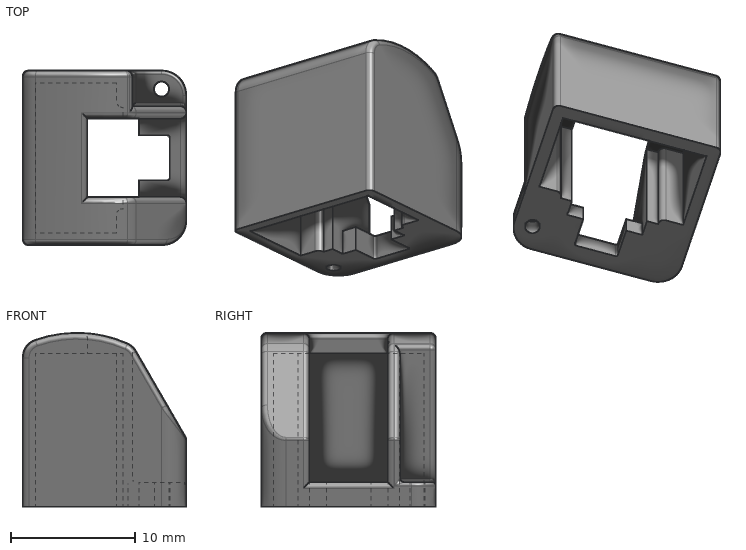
import cadquery as cq
import math

length = 13.15
width = 14.05
height = 14.0

crown_x = 4.35
crown_radius = 10.0
front_height = 5.5
slope_angle = 60.0
back_top_round = 1.5
crown_slope_round = 1.5

front_corner_round = 2.0
edge_round = 0.49

wall = 1.0
cavity_end_x = 7.52
cavity_height = 12.34
bay_end_x = 8.02
bay_width = 8.15
bay_round = 0.49

window_x = 5.2
window_width = 6.3
ledge_x = 9.33
ledge_height = 2.0
notch_end_x = 11.8
notch_width = 3.6
notch_round = 0.17

ridge = 1.01
pad_x = 8.8
pad_y = window_width / 2 + ridge
pad_height = 2.0
pad_inner_x = 8.43
pad_round = 0.3
hole_diameter = 1.2
hole_from_side = 1.5

TOLERANCE = 0.001


def box(x_range, y_range, z_range):
    """Axis-aligned box between pairs of limits."""
    (x0, x1), (y0, y1), (z0, z1) = x_range, y_range, z_range
    return cq.Workplane("XY").box(x1 - x0, y1 - y0, z1 - z0, centered=False).translate((x0, y0, z0))


def crown_z(x):
    """Height of the crown arc at x."""
    return height - crown_radius + math.sqrt(crown_radius**2 - (x - crown_x) ** 2)


def crown_slope_corner():
    """Sharp corner where the crown arc meets the front slope."""
    dx, dz = -math.cos(math.radians(slope_angle)), math.sin(math.radians(slope_angle))
    from_x = length - crown_x
    from_z = front_height - (height - crown_radius)
    half_b = from_x * dx + from_z * dz
    c = from_x**2 + from_z**2 - crown_radius**2
    distance = -half_b + math.sqrt(half_b**2 - c)
    return length + distance * dx, front_height + distance * dz


def nearest_edge(body, point):
    """The edge whose centre lies closest to a point."""
    return body.edges(cq.selectors.NearestToPointSelector(point))


def profile_prism(y_start, y_end):
    """The side outline drawn out along Y, with its two upper corners rounded."""
    corner_x, corner_z = crown_slope_corner()
    middle_y = (y_start + y_end) / 2
    prism = (
        cq.Workplane("XZ", origin=(0, y_end, 0))
        .lineTo(length, 0)
        .lineTo(length, front_height)
        .lineTo(corner_x, corner_z)
        .threePointArc((crown_x, height), (0, crown_z(0)))
        .close()
        .extrude(y_end - y_start)
    )
    prism = nearest_edge(prism, (0, middle_y, crown_z(0))).fillet(back_top_round)
    return nearest_edge(prism, (corner_x, middle_y, corner_z)).fillet(crown_slope_round)


def main_block():
    """Full-length block that ends at the wall beside the screw pad."""
    block = profile_prism(-width / 2, pad_y)
    block = block.edges("|Z and >X and <Y").fillet(front_corner_round)
    near_edges = block.faces("<Y").edges("not <Z").edges("not(|Z and >X)")
    far_edges = block.faces(">Y").edges("not <Z")
    return block.newObject(near_edges.vals() + far_edges.vals()).fillet(edge_round)


def rear_block():
    """Full-width block that ends at the wall behind the screw pad."""
    block = profile_prism(-width / 2, width / 2)
    block = block.intersect(box((0, pad_x), (-width / 2, width / 2), (0, height)))
    return block.faces("<Y or >Y or >X").edges("not <Z").fillet(edge_round)


def pad():
    """Low screw pad that fills the front +Y corner."""
    plate = box((pad_inner_x, length), (0, width / 2), (0, pad_height))
    plate = plate.edges("|Z and >X and >Y").fillet(front_corner_round)
    return plate.faces(">Z").edges(">X or >Y").fillet(pad_round)


def blend_pad(body):
    """Blend the pad into the two walls that rise behind it."""
    foot_x = nearest_edge(body, (pad_x, (pad_y + width / 2) / 2, pad_height))
    foot_y = nearest_edge(body, ((pad_x + length) / 2, pad_y, pad_height))
    return foot_x.add(foot_y).fillet(pad_round)


def cut_window(body):
    """Cut the window and round every edge where it breaks the outer skin."""
    window_end_y = window_width / 2
    opening = box((window_x, length), (-window_end_y, window_end_y), (ledge_height, height))
    skin = body.val().Shells()[0]

    def on_rim(edge):
        middle = edge.positionAt(0.5)
        vertex = cq.Vertex.makeVertex(*middle.toTuple())
        beside_window = abs(middle.y) < window_end_y + TOLERANCE and middle.x > window_x - TOLERANCE
        above_ledge = middle.z > ledge_height - TOLERANCE
        return beside_window and above_ledge and skin.distance(vertex) < TOLERANCE

    return body.cut(opening).edges().filter(on_rim).fillet(edge_round)


def cavity():
    """Main cavity with a narrower bay at its front, and a clear shaft below the window."""
    main = box((wall, cavity_end_x), (wall - width / 2, width / 2 - wall), (0, cavity_height))
    bay = box((wall, bay_end_x), (-bay_width / 2, bay_width / 2), (0, cavity_height))
    chamber = main.union(bay)
    for side in (-1, 1):
        corner = (cavity_end_x, side * bay_width / 2, cavity_height / 2)
        chamber = nearest_edge(chamber, corner).fillet(bay_round)
    shaft = box((window_x, ledge_x), (-window_width / 2, window_width / 2), (0, cavity_height))
    return chamber.union(shaft)


def notch():
    """Slot through the ledge, open to the shaft."""
    slot = box((ledge_x, notch_end_x), (-notch_width / 2, notch_width / 2), (0, ledge_height))
    return slot.edges("|Z and >X").fillet(notch_round)


def screw_hole():
    """Through hole in the pad, level in X with the centre of the corner round."""
    hole_x = length - front_corner_round
    hole_y = width / 2 - hole_from_side
    return cq.Workplane("XY").center(hole_x, hole_y).circle(hole_diameter / 2).extrude(pad_height)


body = main_block().union(rear_block()).union(pad())
body = cut_window(blend_pad(body))
result = body.cut(cavity()).cut(notch()).cut(screw_hole())